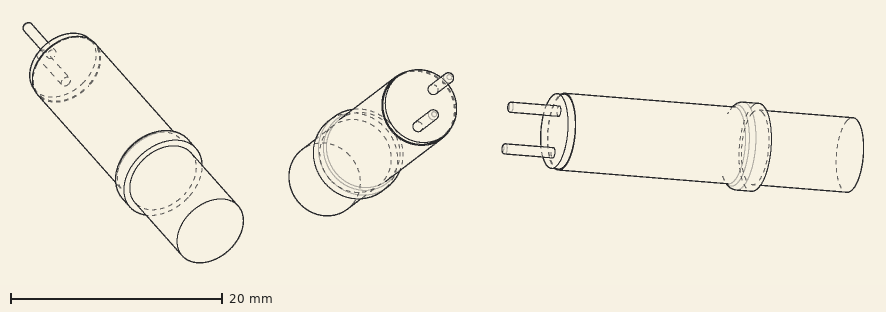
import cadquery as cq
import math

total_length = 35.2
face_x = 5.1
nose_end_x = 5.85
flare_start_x = 23.15
collar_end_x = 25.55

nose_diameter = 7.1
barrel_diameter = 7.32
collar_diameter = 8.38
tail_diameter = 7.1

flare_inner_radius = 0.35
flare_outer_radius = 0.6

pin_diameter = 1.0
pin_tip_fillet = 0.25
pin_centers = [(-1.2, 1.7), (0.3, -2.05)]


def make_housing():
    """Turned body: nose, barrel, flared collar and tail."""
    barrel_radius = barrel_diameter / 2
    collar_radius = collar_diameter / 2
    radius_sum = flare_inner_radius + flare_outer_radius
    flare_angle = math.acos(1 - (collar_radius - barrel_radius) / radius_sum)
    flare_end_x = flare_start_x + radius_sum * math.sin(flare_angle)

    def inner_arc_point(angle):
        return (
            flare_start_x + flare_inner_radius * math.sin(angle),
            barrel_radius + flare_inner_radius * (1 - math.cos(angle)),
        )

    def outer_arc_point(angle):
        return (
            flare_end_x - flare_outer_radius * math.sin(angle),
            collar_radius - flare_outer_radius * (1 - math.cos(angle)),
        )

    half_profile = (
        cq.Workplane("XY")
        .moveTo(face_x, 0)
        .lineTo(face_x, nose_diameter / 2)
        .lineTo(nose_end_x, nose_diameter / 2)
        .lineTo(nose_end_x, barrel_radius)
        .lineTo(flare_start_x, barrel_radius)
        .threePointArc(inner_arc_point(flare_angle / 2), inner_arc_point(flare_angle))
        .threePointArc(outer_arc_point(flare_angle / 2), (flare_end_x, collar_radius))
        .lineTo(collar_end_x, collar_radius)
        .lineTo(collar_end_x, tail_diameter / 2)
        .lineTo(total_length, tail_diameter / 2)
        .lineTo(total_length, 0)
        .close()
    )
    return half_profile.revolve(360, (0, 0, 0), (1, 0, 0))


def make_pin(center_y, center_z):
    """Round pin with a rounded tip, standing on the nose face."""
    return (
        cq.Workplane("YZ")
        .center(center_y, center_z)
        .circle(pin_diameter / 2)
        .extrude(face_x)
        .faces("<X")
        .edges()
        .fillet(pin_tip_fillet)
    )


housing = make_housing()
pins = [make_pin(center_y, center_z) for center_y, center_z in pin_centers]

result = cq.Compound.makeCompound([housing.val(), *[pin.val() for pin in pins]])